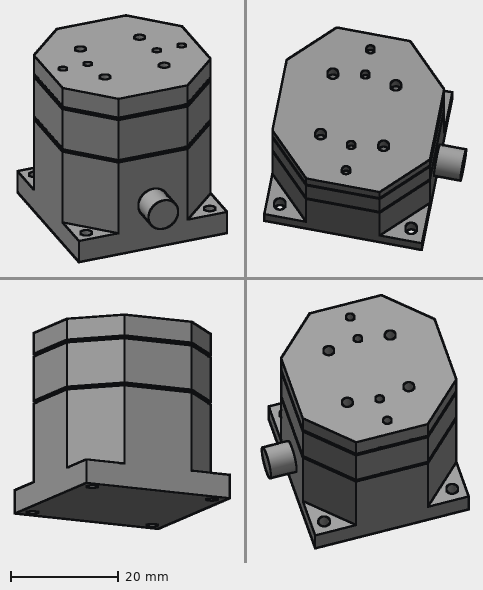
import cadquery as cq
import math

width = 30.0
total_height = 33.0
corner_cut = 8.0
base_height = 4.5

groove_height = 0.5
groove_depth = 0.5
groove_bottoms = (19.5, 28.5)

outlet_diameter = 6.0
outlet_length = 5.0
outlet_height = 9.5

mount_diameter = 2.2
mount_pitch = 25.0

large_hole_diameter = 2.05
large_hole_pitch = 12.0
large_hole_depth = 4.0
small_hole_diameter = 1.6
small_hole_offsets = (7.0, 12.0)
small_hole_depth = 3.0
drill_point_angle = 118.0


def octagonal_prism(inset, bottom, height):
    """Column slice whose eight sides all lie `inset` inside the outer sides."""
    size = width - 2 * inset
    cut = corner_cut - inset * (2 - math.sqrt(2))
    return (
        cq.Workplane("XY")
        .workplane(offset=bottom)
        .rect(size, size)
        .extrude(height)
        .edges("|Z")
        .chamfer(cut)
    )


def groove_ring(bottom):
    """Ring of material removed around the column by one groove."""
    outer = octagonal_prism(0, bottom, groove_height)
    return outer.cut(octagonal_prism(groove_depth, bottom, groove_height))


def drilled_holes(points, diameter, depth):
    """Holes bored down from the top face: straight to `depth`, then a drill point."""
    radius = diameter / 2
    point_depth = radius / math.tan(math.radians(drill_point_angle / 2))
    profile = (
        cq.Workplane("XZ")
        .moveTo(0, 0)
        .lineTo(radius, 0)
        .lineTo(radius, -depth)
        .lineTo(0, -depth - point_depth)
        .close()
    )
    drill = profile.revolve(360, (0, 0, 0), (0, 1, 0)).val()
    return (
        cq.Workplane("XY")
        .workplane(offset=total_height)
        .pushPoints(points)
        .eachpoint(lambda place: drill.located(place))
    )


base = cq.Workplane("XY").rect(width, width).extrude(base_height)
body = base.union(octagonal_prism(0, base_height, total_height - base_height))

for groove_bottom in groove_bottoms:
    body = body.cut(groove_ring(groove_bottom))

outlet = (
    cq.Workplane("YZ")
    .workplane(offset=width / 2)
    .center(0, outlet_height)
    .circle(outlet_diameter / 2)
    .extrude(outlet_length)
)
body = body.union(outlet)

mount_holes = (
    cq.Workplane("XY")
    .rect(mount_pitch, mount_pitch, forConstruction=True)
    .vertices()
    .circle(mount_diameter / 2)
    .extrude(base_height)
)
body = body.cut(mount_holes)

half_pitches = (-large_hole_pitch / 2, large_hole_pitch / 2)
large_hole_points = [(x, y) for x in half_pitches for y in half_pitches]
small_hole_points = [(0, side * offset) for side in (-1, 1) for offset in small_hole_offsets]
body = body.cut(drilled_holes(large_hole_points, large_hole_diameter, large_hole_depth))
body = body.cut(drilled_holes(small_hole_points, small_hole_diameter, small_hole_depth))

result = body